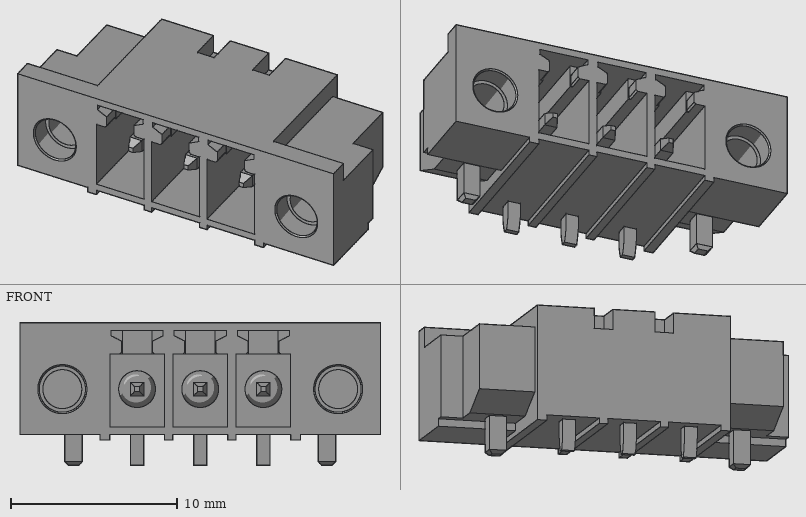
import cadquery as cq


poles = 3
pitch = 3.8
axis_height = 3.06
pole_places = [(i - (poles - 1) / 2) * pitch for i in range(poles)]
gap_places = [(i - (poles - 2) / 2) * pitch for i in range(poles - 1)]

total_width = 21.72
depth = 9.2
top_height = 7.05
total_height = 8.58
floor_height = 0.33
core_width = 12.08
flange_thickness = 1.24

ear_top = 5.82
ear_step_depth = 4.9
narrow_width = 18.98
narrow_depth = 8.62
relief_height = 0.78
relief_start = 4.32
slope_start = 6.47
slope_end_height = 1.82

chamber_width = 3.28
chamber_height = 4.39
chamber_bottom = 0.78
chamber_depth = 6.73
chamber_top = chamber_bottom + chamber_height

keyway_width = 1.78
keyway_top = 6.6
keyway_depth = 6.08
keyway_mouth_width = 1.87
keyway_mouth_depth = 1.09
keyway_mouth_chamfer = 0.1
keyway_head_width = 3.15
keyway_head_edge = 6.28
keyway_neck_top = 5.95

boss_base_radius = 1.1
boss_top_radius = 0.85
boss_length = 0.59
boss_rim_round = 0.24

screw_place = 8.3
screw_mouth_radius = 1.48
screw_bore_radius = 1.4
screw_bore_depth = 1.37
screw_core_radius = 1.17
screw_depth = 4.35
screw_chamfer = screw_mouth_radius - screw_bore_radius

notch_width = 1.15
notch_depth = 2.02
notch_floor = ear_top

contact_size = 0.8
contact_front = 1.3
contact_tip_size = 0.3
contact_tip_length = 0.65
leg_centre = 7.9
leg_end = top_height - total_height
leg_taper_start = -0.4
leg_taper_middle = -1.0
leg_taper_middle_half = 0.33
leg_end_half = 0.163

peg_place = 7.62
peg_centre = 5.58
peg_width = 1.06
peg_length = 1.0
peg_chamfer = 0.22


def box(x0, x1, y0, y1, z0, z1):
    return cq.Workplane("XY").box(x1 - x0, y1 - y0, z1 - z0, centered=False).translate((x0, y0, z0))


def centred_box(x, width, y0, y1, z0, z1):
    return box(x - width / 2, x + width / 2, y0, y1, z0, z1)


def side_extrusion(points, x, width):
    """Closed (y, z) outline extruded along X, centred on x."""
    return cq.Workplane("YZ").polyline(points).close().extrude(width / 2, both=True).translate((x, 0, 0))


def turned(profile, x):
    """Closed (radius, y) profile turned round the Y axis through x at the axis height."""
    solid = cq.Workplane("XY").polyline(profile).close().revolve(360, (0, 0, 0), (0, 1, 0))
    return solid.translate((x, 0, axis_height))


def contact(x):
    half = contact_size / 2
    body_start = contact_front + contact_tip_length
    leg_front = leg_centre - half
    leg_back = leg_centre + half
    middle_front = leg_centre - leg_taper_middle_half
    middle_back = leg_centre + leg_taper_middle_half
    end_front = leg_centre - leg_end_half
    end_back = leg_centre + leg_end_half
    tip = (
        cq.Workplane("XZ", origin=(0, contact_front, axis_height))
        .rect(contact_tip_size, contact_tip_size)
        .workplane(offset=-contact_tip_length)
        .rect(contact_size, contact_size)
        .loft(ruled=True)
    )
    body = (
        cq.Workplane("YZ")
        .moveTo(body_start, axis_height + half)
        .lineTo(leg_back, axis_height + half)
        .lineTo(leg_back, leg_taper_start)
        .threePointArc((middle_back, leg_taper_middle), (end_back, leg_end))
        .lineTo(end_front, leg_end)
        .threePointArc((middle_front, leg_taper_middle), (leg_front, leg_taper_start))
        .lineTo(leg_front, axis_height - half)
        .lineTo(body_start, axis_height - half)
        .close()
        .extrude(half, both=True)
    )
    return body.union(tip).translate((x, 0, 0))


def peg(x):
    post = centred_box(
        x, peg_width, peg_centre - peg_length / 2, peg_centre + peg_length / 2, leg_end, relief_height
    )
    return post.faces("<Z").chamfer(peg_chamfer)


def ears():
    """Both ears as one block through the core, with the step in its plan outline."""
    side_outline = [
        (0, floor_height),
        (relief_start, floor_height),
        (relief_start, relief_height),
        (slope_start, relief_height),
        (narrow_depth, slope_end_height),
        (narrow_depth, ear_top),
        (0, ear_top),
    ]
    plan = centred_box(0, total_width, 0, ear_step_depth, 0, ear_top).union(
        centred_box(0, narrow_width, 0, narrow_depth, 0, ear_top)
    )
    return side_extrusion(side_outline, 0, total_width).intersect(plan)


def feet():
    """Rails under the walls between the chambers and under both sides of the core."""
    wall = pitch - chamber_width
    row_edge = poles * pitch / 2 - wall / 2
    rails = [centred_box(x, wall, 0, depth, 0, floor_height) for x in gap_places]
    rails.append(box(row_edge, core_width / 2, 0, depth, 0, floor_height))
    rails.append(box(-core_width / 2, -row_edge, 0, depth, 0, floor_height))
    return rails


def keyway_mouth(x):
    """T-shaped front part of the keyway with a sloped head and chamfered lower corners."""
    neck = keyway_mouth_width / 2
    head = keyway_head_width / 2
    right_side = [
        (neck + keyway_mouth_chamfer, chamber_top),
        (neck, chamber_top + keyway_mouth_chamfer),
        (neck, keyway_neck_top),
        (head, keyway_head_edge),
        (head, keyway_top),
    ]
    left_side = [(-across, height) for across, height in reversed(right_side)]
    mouth = cq.Workplane("XZ").polyline(right_side + left_side).close().extrude(-keyway_mouth_depth)
    return mouth.translate((x, 0, 0))


def chamber(x):
    cavity = centred_box(x, chamber_width, 0, chamber_depth, chamber_bottom, chamber_top)
    keyway = centred_box(x, keyway_width, 0, keyway_depth, chamber_top, keyway_top)
    return cavity.union(keyway).union(keyway_mouth(x))


def boss(x):
    face = chamber_depth - boss_length
    cone = turned(
        [(0, chamber_depth), (boss_base_radius, chamber_depth), (boss_top_radius, face), (0, face)], x
    )
    return cone.faces("<Y").edges().fillet(boss_rim_round)


def screw_hole(x):
    return turned(
        [
            (0, 0),
            (screw_mouth_radius, 0),
            (screw_bore_radius, screw_chamfer),
            (screw_bore_radius, screw_bore_depth),
            (screw_core_radius, screw_bore_depth),
            (screw_core_radius, screw_depth),
            (0, screw_depth),
        ],
        x,
    )


def housing_body():
    body = centred_box(0, core_width, 0, depth, floor_height, top_height)
    body = body.union(centred_box(0, total_width, 0, flange_thickness, floor_height, top_height))
    body = body.union(ears())
    for rail in feet():
        body = body.union(rail)
    for x in gap_places:
        body = body.cut(centred_box(x, notch_width, depth - notch_depth, depth, notch_floor, top_height))
    for x in pole_places:
        body = body.cut(chamber(x)).union(boss(x)).cut(contact(x))
    for x in (-screw_place, screw_place):
        body = body.cut(screw_hole(x))
    return body


housing = housing_body()
contacts = [contact(x) for x in pole_places]
pegs = [peg(x) for x in (-peg_place, peg_place)]

bodies = [housing, *contacts, *pegs]
result = cq.Compound.makeCompound([body.solids().val() for body in bodies])